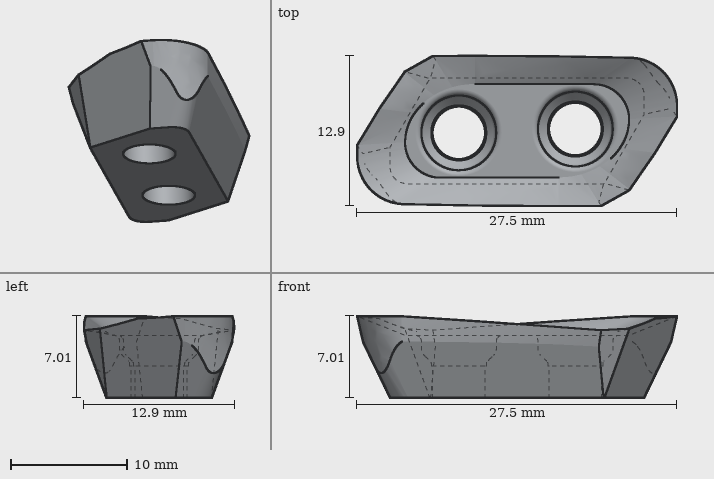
import cadquery as cq
import math

HALF_LENGTH = 13.75
HEIGHT = 7.0
STOCK_HEIGHT = HEIGHT + 0.08
FLOOR_Z = 5.35
OVERSHOOT = 1.38

FLANKS = [
    (270.0, 4.55, 20.0),
    (300.0, 7.65, 15.0),
    (330.0, 8.75, 20.0),
    (360.0, 10.92, 25.8),
]
FLANK_CORNER_RADIUS = 1.65

END_LAND_LEAN = 13.0
NOSE_END_Y = 2.25
NOSE_SIDE_X = 9.9
NOSE_SIDE_Y = 6.3
NOSE_MID_TOP = (-12.57, -5.1)
NOSE_MID_BASE = (-11.1, -4.8)
LAND_FAR_Y_TOP = 6.9
LAND_FAR_Y_BASE = 4.73

LOW_CORNER = (7.2, -6.44, 5.8)
FACET_CORNER = (9.68, -5.03, 5.95)
SLANT_MID = (11.7, -1.87, 6.7)
SLANT_END = (HALF_LENGTH, 1.25, HEIGHT)

FLOOR_HALF_LENGTH = 9.62
FLOOR_HALF_WIDTH = 4.02
FLOOR_CORNER_RADIUS = 3.02
FLOOR_SWEEP_WIDTH = 6.05
NOSE_FACE_ANGLE = 191.0
SWEEP_ANGLES = [-90, -71, -54, -30, 0]
RIM_EXTENSION = 1.35

HOLE_X = 5.0
HOLE_Y = 0.16
MOUTH_RADIUS = 3.75
BORE_RADIUS = 3.22
SEAT_TOP_RADIUS = 3.0
SEAT_END_RADIUS = 2.5
THROAT_RADIUS = 2.36
SCREW_RADIUS = 2.25
MOUTH_DEPTH = 0.5
BORE_DEPTH = 1.25
SEAT_TOP_DEPTH = 1.7
SEAT_END_DEPTH = 2.17
THROAT_DEPTH = 2.4
LEDGE_DEPTH = 2.6


def half_turn(point):
    """Rotate a point by 180 degrees about Z."""
    return (-point[0], -point[1]) + tuple(point[2:])


def flank_outline(height):
    """Corners where neighbouring flanks meet at a given height."""
    flanks = FLANKS + [(angle + 180.0, base, lean) for angle, base, lean in FLANKS]
    corners = []
    following = flanks[1:] + flanks[:1]
    for (angle_a, base_a, lean_a), (angle_b, base_b, lean_b) in zip(flanks, following):
        a = math.radians(angle_a)
        b = math.radians(angle_b)
        reach_a = base_a + height * math.tan(math.radians(lean_a))
        reach_b = base_b + height * math.tan(math.radians(lean_b))
        det = math.sin(b - a)
        x = (reach_a * math.sin(b) - reach_b * math.sin(a)) / det
        y = (reach_b * math.cos(a) - reach_a * math.cos(b)) / det
        corners.append((x, y))
    return corners


def make_flank_body():
    """Tapered block with two rounded corners."""
    base = flank_outline(0.0)
    top = flank_outline(STOCK_HEIGHT)
    body = (
        cq.Workplane("XY").polyline(base).close()
        .workplane(offset=STOCK_HEIGHT).polyline(top).close()
        .loft(ruled=True)
    )
    middle = [(p + q) / 2 for p, q in zip(base[-1], top[-1])] + [STOCK_HEIGHT / 2]
    for point in (middle, half_turn(middle)):
        body = body.edges(cq.selectors.NearestToPointSelector(point)).fillet(FLANK_CORNER_RADIUS)
    return body


def land_outline(plane, end_x, nose_mid, far_y):
    """Rectangle-like land outline with a nose at two opposite corners."""
    nose_start = (-end_x, -NOSE_END_Y)
    nose_end = (-NOSE_SIDE_X, -NOSE_SIDE_Y)
    return (
        plane.moveTo(*nose_start)
        .threePointArc(nose_mid, nose_end)
        .lineTo(end_x, -far_y)
        .lineTo(*half_turn(nose_start))
        .threePointArc(half_turn(nose_mid), half_turn(nose_end))
        .lineTo(-end_x, far_y)
        .close()
    )


def make_land_body():
    """Steep-sided body whose long sides twist along their length."""
    slope = math.tan(math.radians(END_LAND_LEAN))
    base_x = HALF_LENGTH - slope * HEIGHT
    outline = land_outline(cq.Workplane("XY"), base_x, NOSE_MID_BASE, LAND_FAR_Y_BASE)
    top_x = base_x + slope * STOCK_HEIGHT
    outline = outline.workplane(offset=STOCK_HEIGHT)
    outline = land_outline(outline, top_x, NOSE_MID_TOP, LAND_FAR_Y_TOP)
    return outline.loft(ruled=True)


def floor_corner(degrees):
    """Point on the round corner of the pocket floor near the nose."""
    angle = math.radians(degrees)
    x = -FLOOR_HALF_LENGTH + FLOOR_CORNER_RADIUS * (1 + math.cos(angle))
    y = -FLOOR_HALF_WIDTH + FLOOR_CORNER_RADIUS * (1 + math.sin(angle))
    return (x, y, FLOOR_Z)


def floor_sweep(degrees):
    """Point on the elliptical corner of the pocket floor."""
    angle = math.radians(degrees)
    depth = 2 * FLOOR_HALF_WIDTH - FLOOR_CORNER_RADIUS
    x = FLOOR_HALF_LENGTH + FLOOR_SWEEP_WIDTH * (math.cos(angle) - 1)
    y = -FLOOR_HALF_WIDTH + depth * (1 + math.sin(angle))
    return (x, y, FLOOR_Z)


def arc_points(curve, start, end):
    """Start, middle and end of a stretch of a curve given by angle."""
    return [curve(angle) for angle in (start, (start + end) / 2, end)]


def pocket_segments():
    """Matching (start, middle, end) of floor and rim; straight where middle is None."""
    nose_start = (-HALF_LENGTH, -NOSE_END_Y, HEIGHT)
    nose_end = (-NOSE_SIDE_X, -NOSE_SIDE_Y, HEIGHT)
    floor_strip = arc_points(floor_corner, 180, NOSE_FACE_ANGLE)
    floor_nose = arc_points(floor_corner, NOSE_FACE_ANGLE, 270)
    segments = [
        (floor_strip, (half_turn(SLANT_END), None, nose_start)),
        (floor_nose, (nose_start, NOSE_MID_TOP + (HEIGHT,), nose_end)),
    ]

    sweep_start = floor_sweep(SWEEP_ANGLES[0])
    share = (sweep_start[0] - nose_end[0]) / (LOW_CORNER[0] - nose_end[0])
    split = tuple(p + share * (q - p) for p, q in zip(nose_end, LOW_CORNER))
    segments.append(((floor_nose[2], None, sweep_start), (nose_end, None, split)))

    rim = [split, LOW_CORNER, FACET_CORNER, SLANT_MID, SLANT_END]
    for i in range(len(rim) - 1):
        floor = arc_points(floor_sweep, SWEEP_ANGLES[i], SWEEP_ANGLES[i + 1])
        segments.append((floor, (rim[i], None, rim[i + 1])))
    return segments


def make_edge(points):
    """Line or arc through (start, middle, end); a line where middle is None."""
    start, middle, end = (cq.Vector(*p) if p else None for p in points)
    if middle is None:
        return cq.Edge.makeLine(start, end)
    return cq.Edge.makeThreePointArc(start, middle, end)


def extend(floor, rim):
    """Carry the pocket wall outward from the floor past the rim."""
    return tuple(f + RIM_EXTENSION * (r - f) for f, r in zip(floor, rim))


def make_pocket():
    """Solid that removes the chip pocket: flat floor with ruled rising walls."""
    cap_z = HEIGHT + OVERSHOOT
    half = pocket_segments()
    floor_edges = []
    cap_edges = []
    walls = []
    for turned in (False, True):
        for floor, rim in half:
            outer = [extend(f, r) if r else None for f, r in zip(floor, rim)]
            cap = [(p[0], p[1], cap_z) if p else None for p in outer]
            rings = []
            for points in (floor, outer, cap):
                edge = make_edge(points)
                rings.append(edge.rotate((0, 0, 0), (0, 0, 1), 180) if turned else edge)
            floor_edges.append(rings[0])
            cap_edges.append(rings[2])
            walls += [cq.Face.makeRuledSurface(rings[0], rings[1])]
            walls += [cq.Face.makeRuledSurface(rings[1], rings[2])]
    lids = [cq.Face.makeFromWires(cq.Wire.assembleEdges(e)) for e in (floor_edges, cap_edges)]
    pocket = cq.Solid.makeSolid(cq.Shell.makeShell(walls + lids))
    return cq.Workplane(pocket.fix())


def arc_mid(start, end, bulge):
    """Point pushed sideways from the middle of a chord by a share of its length."""
    dx = end[0] - start[0]
    dz = end[1] - start[1]
    return ((start[0] + end[0]) / 2 - bulge * dz, (start[1] + end[1]) / 2 + bulge * dx)


def make_screw_hole():
    """Stepped hole about the Z axis: rounded mouth, bore, conical seat, ledge, screw passage."""
    quarter_bulge = math.tan(math.radians(90 / 4)) / 2
    soft_bulge = math.tan(math.radians(45 / 4)) / 2
    mouth = (MOUTH_RADIUS, FLOOR_Z)
    bore_top = (BORE_RADIUS, FLOOR_Z - MOUTH_DEPTH)
    bore_end = (BORE_RADIUS, FLOOR_Z - BORE_DEPTH)
    seat_top = (SEAT_TOP_RADIUS, FLOOR_Z - SEAT_TOP_DEPTH)
    seat_end = (SEAT_END_RADIUS, FLOOR_Z - SEAT_END_DEPTH)
    throat = (THROAT_RADIUS, FLOOR_Z - THROAT_DEPTH)
    ledge_z = FLOOR_Z - LEDGE_DEPTH
    return (
        cq.Workplane("XZ")
        .moveTo(0, -OVERSHOOT)
        .lineTo(0, HEIGHT)
        .lineTo(MOUTH_RADIUS, HEIGHT)
        .lineTo(*mouth)
        .threePointArc(arc_mid(mouth, bore_top, -quarter_bulge), bore_top)
        .lineTo(*bore_end)
        .threePointArc(arc_mid(bore_end, seat_top, soft_bulge), seat_top)
        .lineTo(*seat_end)
        .threePointArc(arc_mid(seat_end, throat, -soft_bulge), throat)
        .lineTo(THROAT_RADIUS, ledge_z)
        .lineTo(SCREW_RADIUS, ledge_z)
        .lineTo(SCREW_RADIUS, -OVERSHOOT)
        .close()
        .revolve(360, (0, 0, 0), (0, 1, 0))
    )


result = make_flank_body().intersect(make_land_body()).cut(make_pocket())
for side in (-1, 1):
    result = result.cut(make_screw_hole().translate((side * HOLE_X, side * HOLE_Y, 0)))